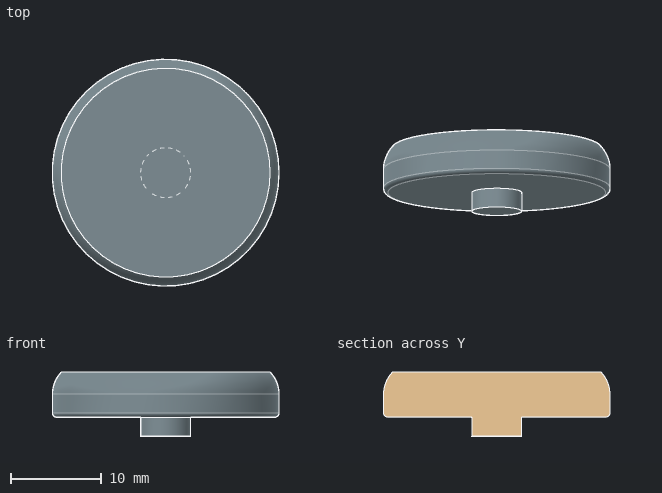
import cadquery as cq
import math

disc_diameter = 25.0
disc_height = 5.0
top_face_diameter = 23.0
shoulder_radius = 3.5
bottom_edge_radius = 0.5
stem_diameter = 5.5
stem_length = 2.1

disc_radius = disc_diameter / 2
top_face_radius = top_face_diameter / 2
shoulder_inset = disc_radius - top_face_radius
shoulder_height = math.sqrt(shoulder_radius**2 - (shoulder_radius - shoulder_inset) ** 2)
shoulder_start = disc_height - shoulder_height


def make_disc():
    """Button disc standing on Z = 0, its shoulder tangent to the vertical rim."""
    profile = (
        cq.Workplane("XZ")
        .lineTo(disc_radius, 0)
        .lineTo(disc_radius, shoulder_start)
        .tangentArcPoint((top_face_radius, disc_height), relative=False)
        .lineTo(0, disc_height)
        .close()
    )
    disc = profile.revolve(360, (0, 0, 0), (0, 1, 0))
    return disc.faces("<Z").edges().fillet(bottom_edge_radius)


def make_stem():
    """Round stem hanging below the centre of the disc."""
    return cq.Workplane("XY").circle(stem_diameter / 2).extrude(-stem_length)


result = make_disc().union(make_stem())